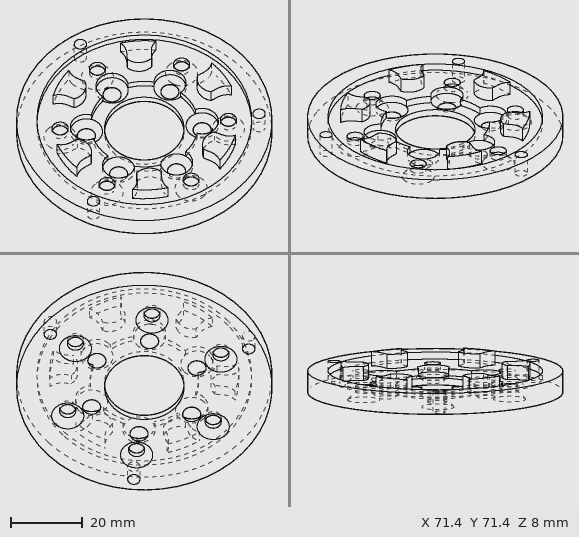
import cadquery as cq
import math

unit_step = 2.0
shelf_height = unit_step
floor_height = 2 * unit_step
rim_height = 3 * unit_step
lug_height = 4 * unit_step

outer_diameter = 71.4
recess_diameter = 60.0
shelf_diameter = 30.3
bore_diameter = 22.2

pattern_angle = -4.6
screw_count = 6
rim_hole_count = 3
screw_circle_radius = 16.2
screw_diameter = 5.0
screw_head_diameter = screw_diameter + 2 * shelf_height
floor_hole_circle_radius = 23.55
floor_hole_diameter = 4.5
floor_hole_head_diameter = screw_head_diameter
rim_hole_circle_radius = 32.1
rim_hole_diameter = 3.4

lug_count = 6
lug_outer_radius = 26.4
lug_half_angle = 10.8
lug_inner_radius = 18.7
lug_waist_radius = 22.35
lug_shoulder_radius = 20.1
lug_neck_half_width = 3.4


def cylinder(diameter, bottom, top):
    return cq.Workplane("XY").workplane(offset=bottom).circle(diameter / 2).extrude(top - bottom)


def ring_points(radius, count, first_angle):
    angles = [math.radians(first_angle + i * 360 / count) for i in range(count)]
    return [(radius * math.cos(a), radius * math.sin(a)) for a in angles]


def through_holes(diameter, points):
    return cq.Workplane("XY").pushPoints(points).circle(diameter / 2).extrude(rim_height)


def cone_pattern(bottom_diameter, top_diameter, height, points):
    cone = cq.Solid.makeCone(bottom_diameter / 2, top_diameter / 2, height)
    return cq.Workplane("XY").pushPoints(points).eachpoint(cone, useLocalCoordinates=True)


def underside_countersinks(points):
    """90 degree countersinks opening on the underside."""
    depth = (floor_hole_head_diameter - floor_hole_diameter) / 2
    return cone_pattern(floor_hole_head_diameter, floor_hole_diameter, depth, points)


def screw_seats(points):
    """Countersinks below the shelf level, with straight head clearance above it."""
    cones = cone_pattern(screw_diameter, screw_head_diameter, shelf_height, points)
    clearances = (
        cq.Workplane("XY")
        .workplane(offset=shelf_height)
        .pushPoints(points)
        .circle(screw_head_diameter / 2)
        .extrude(rim_height - shelf_height)
    )
    return cones.union(clearances)


def lug(angle):
    """Flared lug with a straight neck, a rounded inner end and an outer face concentric with the disc."""
    corner_x = lug_outer_radius * math.cos(math.radians(lug_half_angle))
    corner_y = lug_outer_radius * math.sin(math.radians(lug_half_angle))
    flare_length = corner_x - lug_waist_radius
    flare_width = corner_y - lug_neck_half_width
    flare_radius = (flare_length**2 + flare_width**2) / (2 * flare_width)
    half_sweep = math.atan2(flare_width, flare_length)

    def flare_middle(side):
        x = lug_waist_radius + flare_radius * math.sin(half_sweep)
        y = lug_neck_half_width + flare_radius * (1 - math.cos(half_sweep))
        return (x, side * y)

    return (
        cq.Workplane("XY")
        .workplane(offset=shelf_height)
        .moveTo(corner_x, -corner_y)
        .threePointArc((lug_outer_radius, 0), (corner_x, corner_y))
        .threePointArc(flare_middle(1), (lug_waist_radius, lug_neck_half_width))
        .lineTo(lug_shoulder_radius, lug_neck_half_width)
        .threePointArc((lug_inner_radius, 0), (lug_shoulder_radius, -lug_neck_half_width))
        .lineTo(lug_waist_radius, -lug_neck_half_width)
        .threePointArc(flare_middle(-1), (corner_x, -corner_y))
        .close()
        .extrude(lug_height - shelf_height)
        .rotate((0, 0, 0), (0, 0, 1), angle)
    )


body = cylinder(outer_diameter, 0, rim_height)
body = body.cut(cylinder(recess_diameter, floor_height, rim_height))
body = body.cut(cylinder(shelf_diameter, shelf_height, floor_height))
body = body.cut(cylinder(bore_diameter, 0, shelf_height))

screw_points = ring_points(screw_circle_radius, screw_count, pattern_angle)
floor_points = ring_points(floor_hole_circle_radius, screw_count, pattern_angle)
rim_points = ring_points(rim_hole_circle_radius, rim_hole_count, pattern_angle + 60)
body = body.cut(screw_seats(screw_points))
body = body.cut(through_holes(floor_hole_diameter, floor_points))
body = body.cut(underside_countersinks(floor_points))
body = body.cut(through_holes(rim_hole_diameter, rim_points))

lug_pitch = 360 / lug_count
for index in range(lug_count):
    body = body.union(lug(pattern_angle + (index + 0.5) * lug_pitch))

result = body